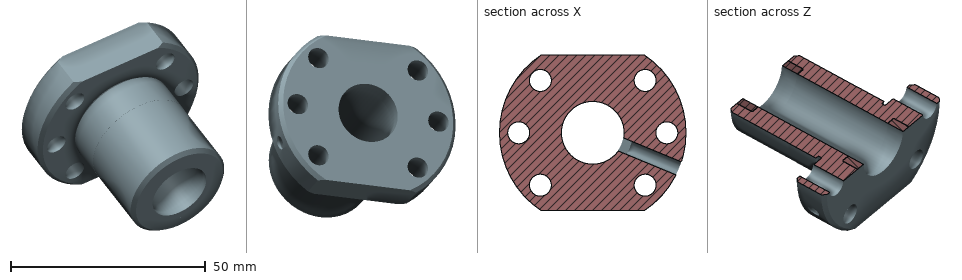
import cadquery as cq
import math

total_length = 40.0
flange_diameter = 48.0
flange_width = total_length
flange_thickness = 10.0
chamfer = 1.0

body_diameter = 28.0
fit_end = 2 * flange_thickness
body_relief = 0.1
neck_diameter = body_diameter - 2 * chamfer
neck_length = chamfer
bore_diameter = 16.0

seal_diameter = 20.7
seal_length = flange_thickness / 2

screw_hole_diameter = 5.5
screw_circle_diameter = 38.0
screw_hole_spacing = 45.0
screw_holes_per_side = 3

oil_hole_diameter = 3.5
oil_hole_x = flange_thickness / 2
oil_hole_angle = -screw_hole_spacing / 2


def cylinder(diameter, start, length):
    """Cylinder on the X axis from X = start."""
    return cq.Workplane("YZ", origin=(start, 0, 0)).circle(diameter / 2).extrude(length)


def make_seal(start):
    """Wiper ring that fills one end recess of the housing."""
    return cylinder(seal_diameter, start, seal_length).cut(cylinder(bore_diameter, start, seal_length))


def make_flange():
    """Round flange with chamfered rims, cut to two flats."""
    disc = cylinder(flange_diameter, 0, flange_thickness).edges().chamfer(chamfer)
    flats = cq.Workplane("XY").box(2 * flange_thickness, flange_diameter, flange_width)
    return disc.intersect(flats)


def make_body():
    """Stepped barrel: neck, fitting length, then a slightly relieved length with a chamfered end."""
    body_radius = body_diameter / 2
    relieved_radius = body_radius - body_relief / 2
    neck_radius = neck_diameter / 2
    neck_end = flange_thickness + neck_length
    outline = [
        (0, 0),
        (0, neck_radius),
        (neck_end, neck_radius),
        (neck_end, body_radius),
        (fit_end, body_radius),
        (fit_end, relieved_radius),
        (total_length - chamfer, relieved_radius),
        (total_length, relieved_radius - chamfer),
        (total_length, 0),
    ]
    return cq.Workplane("XY").polyline(outline).close().revolve(360, (0, 0, 0), (1, 0, 0))


def make_screw_holes():
    """Three holes on each Y side of the flange."""
    radius = screw_circle_diameter / 2
    centres = []
    for side_angle in (0, 180):
        for index in range(screw_holes_per_side):
            offset = (index - (screw_holes_per_side - 1) / 2) * screw_hole_spacing
            angle = math.radians(side_angle + offset)
            centres.append((radius * math.cos(angle), radius * math.sin(angle)))
    plane = cq.Workplane("YZ").pushPoints(centres)
    return plane.circle(screw_hole_diameter / 2).extrude(flange_thickness)


def make_oil_hole():
    """Radial hole from the bore out through the flange rim."""
    hole = cq.Workplane("XZ", origin=(oil_hole_x, 0, 0)).circle(oil_hole_diameter / 2)
    return hole.extrude(-flange_diameter / 2).rotate((0, 0, 0), (1, 0, 0), oil_hole_angle)


seal_starts = [0, total_length - seal_length]

housing = make_flange().union(make_body())
housing = housing.cut(cylinder(bore_diameter, 0, total_length))
housing = housing.cut(make_screw_holes())
housing = housing.cut(make_oil_hole())
for start in seal_starts:
    housing = housing.cut(cylinder(seal_diameter, start, seal_length))

seals = [make_seal(start) for start in seal_starts]

result = cq.Compound.makeCompound([housing.val(), *[seal.val() for seal in seals]])